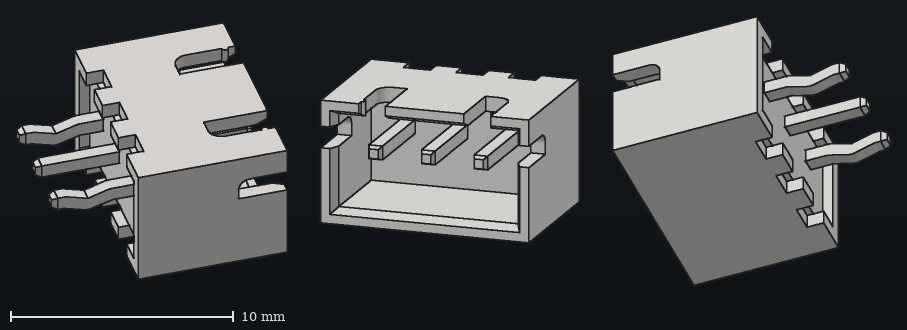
import cadquery as cq
import math


pin_count = 3
pin_pitch = 2.5
pin_size = 0.65
pin_tail = 3.4
pin_tip_gap = 0.23
pin_tip_length = 0.27
pin_tip_inset = 0.1
pin_xs = [(i - (pin_count - 1) / 2) * pin_pitch for i in range(pin_count)]
end_pin_xs = [pin_xs[0], pin_xs[-1]]

bend_start = 0.58
bend_half_length = 1.13
bend_drop = 0.31

housing_width = 9.9
housing_length = 7.0
housing_height = 5.75
pin_above_base = 3.4
wall = 0.7
base_z = -pin_above_base
top_z = base_z + housing_height
middle_z = (base_z + top_z) / 2
inner_width = housing_width - 2 * wall
inner_height = housing_height - 2 * wall

recess_depth = 0.5
floor_thickness = 1.5
cavity_start = recess_depth + floor_thickness
lead_in_length = 0.52
lead_in_inset = 0.25

opening_width = 1.27
notch_depth = 0.8

latch_slot_length = 3.0
latch_slot_radius = 0.65
bump_radius = 0.16
bump_from_mouth = 0.5

side_slot_length = 2.29
side_slot_height = 1.0
side_slot_below_top = 1.23
side_slot_radius = 0.5


def block(x_range, y_range, z_range):
    """Box spanning the given (low, high) ranges."""
    low, high = zip(x_range, y_range, z_range)
    size = [b - a for a, b in zip(low, high)]
    return cq.Workplane("XY").box(*size, centered=False).translate(low)


def section(width, height, y, z=0.0):
    """Rectangle centred on x = 0 and the given z, facing -Y at the given y."""
    return cq.Workplane("XZ", origin=(0, y, z)).rect(width, height)


def inner_cavity():
    """Plug cavity with a lead-in that widens to the mouth."""
    lead_in_start = housing_length - lead_in_length
    cavity = section(inner_width, inner_height, cavity_start, middle_z).extrude(cavity_start - housing_length)
    lead_in = (
        section(inner_width, inner_height, lead_in_start, middle_z)
        .workplane(offset=-lead_in_length)
        .rect(inner_width + 2 * lead_in_inset, inner_height + 2 * lead_in_inset)
        .loft(combine=True)
    )
    return cavity.union(lead_in)


def board_side_recess():
    return section(inner_width, inner_height, 0, middle_z).extrude(-recess_depth)


def board_side_notch(x):
    """Notch at one pin through both the top and the bottom wall, clear of the recess floor between them."""
    x_range = (x - opening_width / 2, x + opening_width / 2)
    lower = block(x_range, (0, notch_depth), (base_z, base_z + wall))
    upper = block(x_range, (0, notch_depth), (top_z - wall, top_z))
    return lower.union(upper)


def latch_slot(x):
    """Slot in the top wall with a rounded outer corner and a small bump on its outer side."""
    outward = math.copysign(1, x)
    outer_x = x + outward * opening_width / 2
    z_range = (top_z - wall, top_z)
    slot = block(
        (x - opening_width / 2, x + opening_width / 2),
        (housing_length - latch_slot_length, housing_length),
        z_range,
    )
    slot = slot.edges("|Z").edges("<Y").edges(">X" if outward > 0 else "<X").fillet(latch_slot_radius)
    bump = (
        cq.Workplane("XY", origin=(outer_x, housing_length - bump_from_mouth, z_range[0]))
        .circle(bump_radius)
        .extrude(wall)
    )
    return slot.cut(bump)


def side_slots():
    """Slot across the cavity and through both side walls, rounded at its upper inner corner."""
    slot_top = top_z - side_slot_below_top
    slot = block(
        (-housing_width / 2, housing_width / 2),
        (housing_length - side_slot_length, housing_length),
        (slot_top - side_slot_height, slot_top),
    )
    return slot.edges("|X").edges("<Y").edges(">Z").fillet(side_slot_radius)


def make_housing():
    body = section(housing_width, housing_height, 0, middle_z).extrude(-housing_length)
    body = body.cut(inner_cavity()).cut(board_side_recess()).cut(side_slots())
    for x in pin_xs:
        body = body.cut(board_side_notch(x))
        pin_hole = section(pin_size, pin_size, 0).extrude(-housing_length).translate((x, 0, 0))
        body = body.cut(pin_hole)
    for x in end_pin_xs:
        body = body.cut(latch_slot(x))
    return body


def pin_tip(base_y, direction):
    """Tapered end starting at base_y and pointing along +Y (1) or -Y (-1)."""
    tip_size = pin_size - 2 * pin_tip_inset
    return (
        section(pin_size, pin_size, base_y)
        .workplane(offset=-direction * pin_tip_length)
        .rect(tip_size, tip_size)
        .loft(combine=True)
    )


inner_tip_y = housing_length - pin_tip_gap - pin_tip_length
tail_tip_y = pin_tip_length - pin_tail


def make_straight_pin():
    shaft = section(pin_size, pin_size, inner_tip_y).extrude(inner_tip_y - tail_tip_y)
    return shaft.union(pin_tip(inner_tip_y, 1)).union(pin_tip(tail_tip_y, -1))


def make_bent_pin():
    """Pin whose tail dips in a shallow V of constant thickness.

    Each bend is sharp on its inside and an arc of radius pin_size about that corner on its outside.
    """
    top = pin_size / 2
    bottom = -top
    start_y = -bend_start
    apex_y = start_y - bend_half_length
    end_y = apex_y - bend_half_length
    apex_z = top - bend_drop

    rise = apex_z - bottom
    slope = math.pi / 2 - math.atan2(rise, bend_half_length) - math.acos(
        pin_size / math.hypot(rise, bend_half_length)
    )

    def around(y, z, angle):
        """Point at pin_size from a corner, at an angle from +Z towards +Y."""
        return (y + pin_size * math.sin(angle), z + pin_size * math.cos(angle))

    shaft = (
        cq.Workplane("YZ", origin=(-pin_size / 2, 0, 0))
        .moveTo(inner_tip_y, top)
        .lineTo(start_y, top)
        .threePointArc(around(start_y, bottom, -slope / 2), around(start_y, bottom, -slope))
        .lineTo(apex_y, apex_z)
        .lineTo(*around(end_y, bottom, slope))
        .threePointArc(around(end_y, bottom, slope / 2), (end_y, top))
        .lineTo(tail_tip_y, top)
        .lineTo(tail_tip_y, bottom)
        .lineTo(end_y, bottom)
        .lineTo(*around(apex_y, apex_z, math.pi + slope))
        .threePointArc((apex_y, apex_z - pin_size), around(apex_y, apex_z, math.pi - slope))
        .lineTo(start_y, bottom)
        .lineTo(inner_tip_y, bottom)
        .close()
        .extrude(pin_size)
    )
    return shaft.union(pin_tip(inner_tip_y, 1)).union(pin_tip(tail_tip_y, -1))


housing = make_housing()
bent_pins = [make_bent_pin().translate((x, 0, 0)) for x in end_pin_xs]
straight_pins = [make_straight_pin().translate((x, 0, 0)) for x in pin_xs[1:-1]]

result = cq.Compound.makeCompound(
    [housing.val()] + [pin.val() for pin in bent_pins + straight_pins]
)